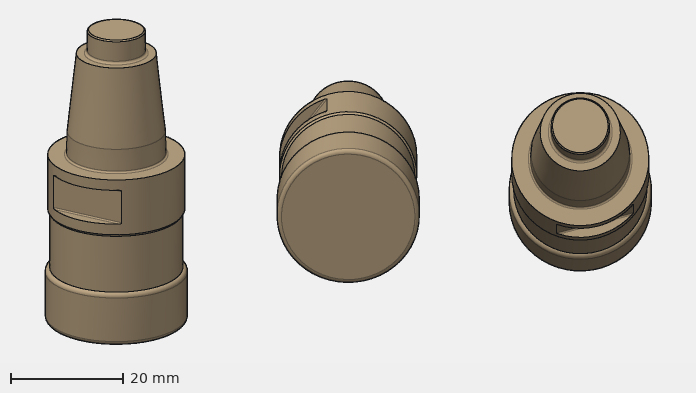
import cadquery as cq
import math

total_height = 55.75
cap_height = 10.0
collar_bottom = 20.75
collar_top = 31.75
taper_start = 36.25
shoulder_height = 51.25

pin_radius = 10.4 / 2
taper_top_radius = 7.15
taper_start_radius = 8.8
neck_base_radius = 8.9
collar_radius = 24.51 / 2
barrel_radius = 23.8 / 2
cap_radius = 25.43 / 2

pin_chamfer = 0.25
pin_root_fillet = 0.5
neck_root_fillet = 0.35
collar_chamfer_height = 0.45
cap_top_round = cap_radius - barrel_radius
cap_bottom_round = 0.8

flat_distance = 10.0
flat_bottom = 23.25
flat_top = 29.75
flat_corner_fillet = 0.25

arc_middle = math.sqrt(0.5)


def add_root_fillet(outline, radius, floor, fillet):
    """Draw a concave quarter arc from a floor up to a wall of the given radius."""
    middle_offset = fillet * (1 - arc_middle)
    return outline.threePointArc(
        (radius + middle_offset, floor + middle_offset),
        (radius, floor + fillet),
    )


def revolve_outline(outline):
    """Close an outline and turn it about the Z axis."""
    return outline.close().revolve(360, (0, 0, 0), (0, 1, 0))


def make_flat_cutter(side):
    """Make the block that removes one wrench flat on the +Y or -Y side."""
    outer_reach = 2 * collar_radius
    block = (
        cq.Workplane("XY")
        .box(2 * outer_reach, outer_reach, flat_top - flat_bottom)
        .translate((0, flat_distance + outer_reach / 2, (flat_top + flat_bottom) / 2))
        .faces("<Y")
        .edges("|X")
        .fillet(flat_corner_fillet)
    )
    if side < 0:
        block = block.mirror("XZ")
    return block


def make_housing():
    """Barrel, collar with two wrench flats, tapered neck and end pin."""
    outline = (
        cq.Workplane("XZ")
        .moveTo(0, cap_height)
        .lineTo(barrel_radius, cap_height)
        .lineTo(barrel_radius, collar_bottom)
        .lineTo(collar_radius, collar_bottom + collar_chamfer_height)
        .lineTo(collar_radius, collar_top)
        .lineTo(neck_base_radius + neck_root_fillet, collar_top)
    )
    outline = add_root_fillet(outline, neck_base_radius, collar_top, neck_root_fillet)
    outline = (
        outline.lineTo(taper_start_radius, taper_start)
        .lineTo(taper_top_radius, shoulder_height)
        .lineTo(pin_radius + pin_root_fillet, shoulder_height)
    )
    outline = add_root_fillet(outline, pin_radius, shoulder_height, pin_root_fillet)
    outline = (
        outline.lineTo(pin_radius, total_height - pin_chamfer)
        .lineTo(pin_radius - pin_chamfer, total_height)
        .lineTo(0, total_height)
    )
    body = revolve_outline(outline)
    for side in (-1, 1):
        body = body.cut(make_flat_cutter(side))
    return body


def make_cap():
    """Rounded end cap that butts against the lower end of the barrel."""
    top_round_center = cap_height - cap_top_round
    bottom_round_inner = cap_radius - cap_bottom_round
    outline = (
        cq.Workplane("XZ")
        .moveTo(0, 0)
        .lineTo(bottom_round_inner, 0)
        .threePointArc(
            (bottom_round_inner + cap_bottom_round * arc_middle, cap_bottom_round * (1 - arc_middle)),
            (cap_radius, cap_bottom_round),
        )
        .lineTo(cap_radius, top_round_center)
        .threePointArc(
            (barrel_radius + cap_top_round * arc_middle, top_round_center + cap_top_round * arc_middle),
            (barrel_radius, cap_height),
        )
        .lineTo(0, cap_height)
    )
    return revolve_outline(outline)


housing = make_housing()
cap = make_cap()

result = cq.Compound.makeCompound([housing.val(), cap.val()])